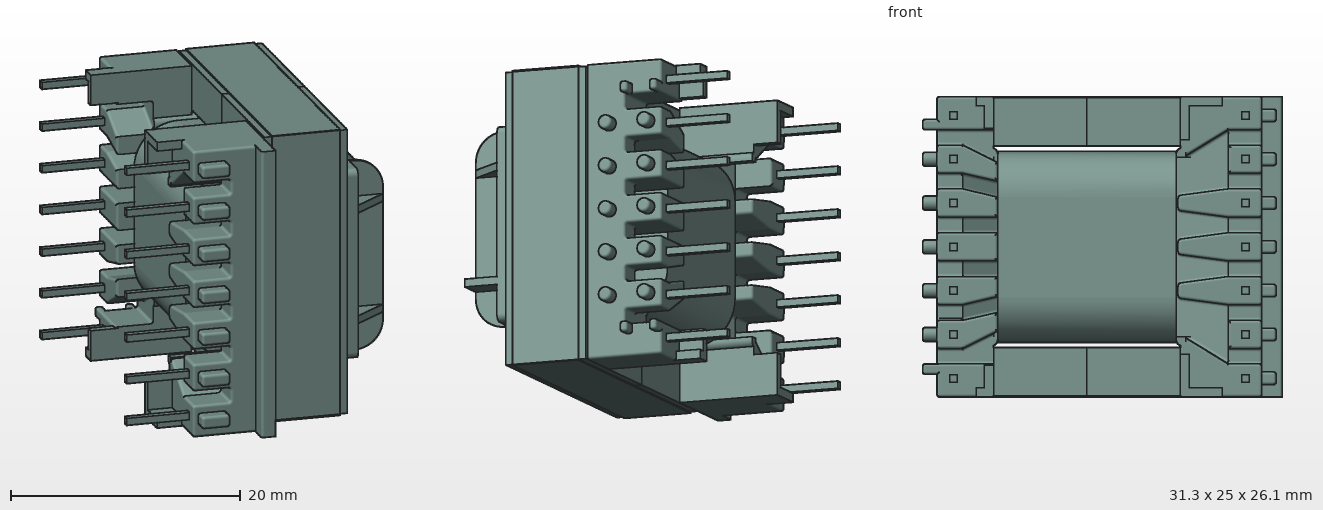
import cadquery as cq

CORE_LENGTH = 25.6
CORE_DEPTH = 7.54
CORE_WIDTH = 25.92
WINDOW_LENGTH = 17.4
WINDOW_WIDTH = 17.5
CENTRE_LEG = 7.5

TAPE_THICKNESS = 0.1
TAPE_WIDTH = 6.2

WINDING_LENGTH = 15.5
WINDING_BACK = 8.31
WINDING_FRONT = -9.37
WINDING_WIDTH = 16.64
WINDING_RADIUS = 3.97

TUBE_HOLE_WIDTH = 8.0
TUBE_HOLE_BACK = 3.88
RAIL_BACK = -4.02
TUBE_WALL = 0.8
FLANGE_THICKNESS = 0.83
FLANGE_WIDTH = 17.28
FLANGE_CORNER = 2.6
FLANGE_LIP_RADIUS = 0.6
FLANGE_INNER = WINDING_LENGTH / 2
FLANGE_OUTER = FLANGE_INNER + FLANGE_THICKNESS

LEDGE_REACH = 11.15
LEDGE_BACK = 5.27
LEDGE_CORNER = 0.6
RIB_INNER_Z = 4.7
RIB_THICKNESS = 0.7

RAIL_WIDTH = CORE_WIDTH + 2 * TAPE_THICKNESS
RAIL_FRONT = -10.97
FLOOR_Y = -7.53
RAIL_INNER = 8.12
LEFT_RAIL_OUTER = -13.05
RIGHT_RAIL_OUTER = 15.22
BLOCK_WALL_Z = 10.17
EDGE_RADIUS = 0.25
SHORTEST_ROOT = 1.0
TOLERANCE = 1e-4

PITCH = 3.81
OUTER_ROW_Z = 1.5 * PITCH
FINGER_HALF = 1.23
RAMP_END_Y = -5.55
FINGER_ROOT_Y = RAIL_BACK - 1.0
LEFT_RAMP_FOOT = -10.8
RIGHT_RAMP_FOOT = 12.28
OUTER_FINGER_END = (5.7, 7.33)
MIDDLE_FINGER_END = (PITCH - FINGER_HALF, 4.32)
LEFT_CHANNEL_HALF = sum(OUTER_FINGER_END) / 2
RIGHT_TIP_HALF = 0.65
RIGHT_TIP_X = 7.92
TIP_RADIUS = 0.3
RIGHT_BLOCK_NOSE_Z = 7.8
RIGHT_BLOCK_NOSE_X = 8.4

FOOT_FRONT = -13.2
FOOT_WALL = 0.8
LEFT_FOOT_LENGTH = 1.52
RIGHT_FOOT_LENGTH = 3.63
LEFT_FOOT_INNER_Z = BLOCK_WALL_Z + EDGE_RADIUS / 2
RIGHT_FOOT_INNER_Z = 9.32

STUD_LENGTH = 1.24
STUD_DIAMETER = 1.23
STUD_ROWS_Y = (-6.09, -9.71)
HOOK_HEIGHT = 0.93
HOOK_DEPTH = 0.7
HOOK_BACKS_Y = (FLOOR_Y, RAIL_FRONT + HOOK_DEPTH)
LUG_LENGTH = 1.24
LUG_WIDTH = 1.1
LUG_BACK = -7.96
LUG_FRONT = -10.5
SHELF_REACH = 17.0
SHELF_FRONT = -5.28

PIN_SIZE = 0.65
PIN_TIP = -16.67
PIN_ROOT = RAIL_FRONT + 1.0
LEFT_PIN_X = -11.6
RIGHT_PIN_X = LEFT_PIN_X + 25.4
PIN_ROWS_Z = [PITCH * row for row in range(-3, 4)]
FINGER_ROWS_Z = PIN_ROWS_Z[1:-1]


def block(x1, x2, y1, y2, z1, z2):
    """Box between two opposite corners, given in any order."""
    size = (abs(x2 - x1), abs(y2 - y1), abs(z2 - z1))
    centre = ((x1 + x2) / 2, (y1 + y2) / 2, (z1 + z2) / 2)
    return cq.Workplane("XY").box(*size).translate(centre)


def plate_along_y(points, back, front):
    """Prism with an (x, z) outline, running from y = back to y = front."""
    return cq.Workplane("XZ", origin=(0, back, 0)).polyline(points).close().extrude(back - front)


def plate_along_z(points, half_width):
    """Prism with an (x, y) outline, centred on z = 0."""
    return cq.Workplane("XY").polyline(points).close().extrude(half_width, both=True)


def mirrored(points):
    """The (x, z) outline reflected in z = 0."""
    return [(x, -z) for x, z in points]


def make_core_half(side):
    half = CORE_LENGTH / 2
    depth = CORE_DEPTH / 2
    core = block(0, side * half, -depth, depth, -CORE_WIDTH / 2, CORE_WIDTH / 2)
    for z_side in (1, -1):
        window = block(0, side * WINDOW_LENGTH / 2, -depth, depth,
                       z_side * CENTRE_LEG / 2, z_side * WINDOW_WIDTH / 2)
        core = core.cut(window)
    return core


def make_tape():
    outer = cq.Workplane("XY").box(CORE_LENGTH + 2 * TAPE_THICKNESS, TAPE_WIDTH, CORE_WIDTH + 2 * TAPE_THICKNESS)
    return outer.cut(cq.Workplane("XY").box(CORE_LENGTH, TAPE_WIDTH, CORE_WIDTH))


def tube_outside():
    half = TUBE_HOLE_WIDTH / 2 + TUBE_WALL
    return block(-FLANGE_INNER, FLANGE_INNER, RAIL_BACK - TUBE_WALL, TUBE_HOLE_BACK + TUBE_WALL, -half, half)


def make_winding():
    half = WINDING_WIDTH / 2
    coil = block(-FLANGE_INNER, FLANGE_INNER, WINDING_FRONT, WINDING_BACK, -half, half)
    return coil.edges("|X").fillet(WINDING_RADIUS).cut(tube_outside())


def make_flange(side):
    """Flange with a rounded lip facing the winding, a ledge behind the core and a gap for the wire ramps."""
    front, gap_half = (RAIL_FRONT, RIGHT_BLOCK_NOSE_Z) if side > 0 else (FLOOR_Y, LEFT_CHANNEL_HALF)
    half = FLANGE_WIDTH / 2
    flange = block(side * FLANGE_INNER, side * FLANGE_OUTER, front, WINDING_BACK, -half, half)
    flange = flange.edges("|X and >Y").fillet(FLANGE_CORNER)
    flange = flange.faces("<X" if side > 0 else ">X").edges("not <Y").fillet(FLANGE_LIP_RADIUS)
    flange = flange.cut(block(side * FLANGE_INNER, side * FLANGE_OUTER, RAMP_END_Y, front, -gap_half, gap_half))
    ledge_root = FLANGE_INNER + FLANGE_LIP_RADIUS
    ledge = block(side * ledge_root, side * LEDGE_REACH, TUBE_HOLE_BACK, LEDGE_BACK, -half, half)
    ledge = ledge.faces(">X" if side > 0 else "<X").edges("|Y").fillet(LEDGE_CORNER)
    return flange.union(ledge)


def make_ribs():
    """Back ribs: triangular gussets, except one square tab at the lower left."""
    ribs = []
    for side in (1, -1):
        for z_side in (1, -1):
            outline = [(side * FLANGE_OUTER, LEDGE_BACK), (side * LEDGE_REACH, LEDGE_BACK),
                       (side * FLANGE_OUTER, WINDING_BACK)]
            if side < 0 and z_side < 0:
                outline.insert(2, (side * LEDGE_REACH, WINDING_BACK))
            middle = z_side * (RIB_INNER_Z + RIB_THICKNESS / 2)
            ribs.append(plate_along_z(outline, RIB_THICKNESS / 2).translate((0, 0, middle)))
    return ribs


def finger(points):
    """Terminal finger of the given (x, z) outline, rooted deep in the rail."""
    return plate_along_y(points, FINGER_ROOT_Y, RAIL_FRONT)


def make_left_rail():
    half = RAIL_WIDTH / 2
    rail = block(LEFT_RAIL_OUTER, -RAIL_INNER, RAIL_BACK, FLOOR_Y, -half, half)
    rail = rail.cut(block(LEFT_RAMP_FOOT, -RAIL_INNER, RAIL_BACK, FLOOR_Y, -LEFT_CHANNEL_HALF, LEFT_CHANNEL_HALF))
    ramp = [(LEFT_RAMP_FOOT, RAIL_BACK), (LEFT_RAMP_FOOT, FLOOR_Y), (-FLANGE_INNER, RAMP_END_Y),
            (-FLANGE_INNER, RAIL_BACK)]
    rail = rail.union(plate_along_z(ramp, LEFT_CHANNEL_HALF))
    ends = {0: (-FINGER_HALF, FINGER_HALF), 1: MIDDLE_FINGER_END, 2: OUTER_FINGER_END}
    for row, (end_low, end_high) in ends.items():
        low = PITCH * row - FINGER_HALF
        high = PITCH * row + FINGER_HALF
        outline = [(LEFT_RAIL_OUTER, low), (LEFT_RAIL_OUTER, high), (LEFT_RAMP_FOOT, high),
                   (-FLANGE_INNER, end_high), (-FLANGE_INNER, end_low), (LEFT_RAMP_FOOT, low)]
        rail = rail.union(finger(outline))
        if row:
            rail = rail.union(finger(mirrored(outline)))
    for z_side in (1, -1):
        rail = rail.union(block(LEFT_RAIL_OUTER, -RAIL_INNER, FLOOR_Y, RAIL_FRONT,
                                z_side * BLOCK_WALL_Z, z_side * half))
    return rail


def make_right_rail():
    half = RAIL_WIDTH / 2
    ramp = [(FLANGE_INNER, RAIL_BACK), (FLANGE_INNER, RAMP_END_Y), (RIGHT_RAMP_FOOT, FLOOR_Y),
            (RIGHT_RAIL_OUTER, FLOOR_Y), (RIGHT_RAIL_OUTER, RAIL_BACK)]
    rail = plate_along_z(ramp, half)
    corner = [(RAIL_INNER, half), (RIGHT_RAIL_OUTER, half), (RIGHT_RAIL_OUTER, BLOCK_WALL_Z),
              (RIGHT_RAMP_FOOT, BLOCK_WALL_Z), (RIGHT_BLOCK_NOSE_X, RIGHT_BLOCK_NOSE_Z),
              (RAIL_INNER, RIGHT_BLOCK_NOSE_Z)]
    for z_side in (1, -1):
        rail = rail.cut(block(FLANGE_INNER, RAIL_INNER, RAIL_BACK, RAIL_FRONT,
                              z_side * RIGHT_BLOCK_NOSE_Z, z_side * half))
    rail = rail.union(finger(corner)).union(finger(mirrored(corner)))
    for z in FINGER_ROWS_Z:
        low = z - FINGER_HALF
        high = z + FINGER_HALF
        base = [(RIGHT_RAMP_FOOT, low), (RIGHT_RAIL_OUTER, low), (RIGHT_RAIL_OUTER, high), (RIGHT_RAMP_FOOT, high)]
        if abs(z) > OUTER_ROW_Z:
            rail = rail.union(finger(base))
        else:
            tip = [(RIGHT_TIP_X, z + RIGHT_TIP_HALF), (RIGHT_TIP_X, z - RIGHT_TIP_HALF)]
            rail = rail.union(finger(base + tip).edges("|Y and <X").fillet(TIP_RADIUS))
    return rail


def root_edges(rail, ramp_foot, ramp_end):
    """Lengthwise edges in a surface that runs straight from the level floor to depth ramp_end at the winding."""
    slope = (ramp_end - FLOOR_Y) / (abs(ramp_foot) - FLANGE_INNER)
    roots = []
    for edge in rail.edges("%LINE").vals():
        ends = (edge.startPoint(), edge.endPoint())
        depths = [FLOOR_Y + slope * (abs(ramp_foot) - abs(end.x)) for end in ends]
        touches = all(abs(end.y - depth) < TOLERANCE for end, depth in zip(ends, depths))
        if touches and abs(ends[0].x - ends[1].x) > SHORTEST_ROOT:
            roots.append(edge)
    return roots


def at_block_nose(edge):
    """True for the front edges on the winding side of a right corner block, which stay sharp."""
    centre = edge.Center()
    return RAIL_INNER - TOLERANCE < centre.x < RIGHT_BLOCK_NOSE_X and abs(centre.z) > OUTER_ROW_Z


def soften(rail, outer_face, roots):
    """Round the outer face's edges, the front edges and the given roots of the walls."""
    outer = rail.faces(outer_face).edges("not >Y").vals()
    front = [edge for edge in rail.faces("<Y").edges().vals() if not at_block_nose(edge)]
    return rail.newObject(outer + front + roots).fillet(EDGE_RADIUS)


def soften_left_rail(rail):
    """The ramp roots come first, then the floor roots with the rest."""
    rail = rail.newObject(root_edges(rail, LEFT_RAMP_FOOT, RAMP_END_Y)).fillet(EDGE_RADIUS)
    return soften(rail, "<X", root_edges(rail, LEFT_RAMP_FOOT, FLOOR_Y))


def soften_right_rail(rail):
    """The corner blocks' ramp roots go with the floor roots, the tapered fingers' ramp roots come after."""
    def on_finger(edge):
        return abs(edge.Center().z) < OUTER_ROW_Z

    floor_roots = root_edges(rail, RIGHT_RAMP_FOOT, FLOOR_Y)
    block_roots = [edge for edge in root_edges(rail, RIGHT_RAMP_FOOT, RAMP_END_Y) if not on_finger(edge)]
    rail = soften(rail, ">X", floor_roots + block_roots)
    finger_roots = [edge for edge in root_edges(rail, RIGHT_RAMP_FOOT, RAMP_END_Y) if on_finger(edge)]
    return rail.newObject(finger_roots).fillet(EDGE_RADIUS)


def make_feet():
    """L-shaped board feet in front of the four corner blocks."""
    feet = []
    half = RAIL_WIDTH / 2
    start = RAIL_FRONT + 2 * EDGE_RADIUS
    for side, length, inner_z in ((-1, LEFT_FOOT_LENGTH, LEFT_FOOT_INNER_Z), (1, RIGHT_FOOT_LENGTH, RIGHT_FOOT_INNER_Z)):
        near = side * RAIL_INNER
        outline = [(near, inner_z), (near, half), (near + side * length, half),
                   (near + side * length, half - FOOT_WALL), (near + side * FOOT_WALL, half - FOOT_WALL),
                   (near + side * FOOT_WALL, inner_z)]
        feet.append(plate_along_y(outline, start, FOOT_FRONT))
        feet.append(plate_along_y(mirrored(outline), start, FOOT_FRONT))
    return feet


def make_studs():
    """Round studs in two rows on the left rail's outer face."""
    studs = []
    for y in STUD_ROWS_Y:
        for z in FINGER_ROWS_Z:
            stud = cq.Workplane("YZ", origin=(LEFT_RAIL_OUTER, y, z)).circle(STUD_DIAMETER / 2).extrude(-STUD_LENGTH)
            studs.append(stud.faces("<X").edges().fillet(EDGE_RADIUS))
    return studs


def make_hooks():
    """Small bars beside the outermost slots of the left rail."""
    hooks = []
    for back in HOOK_BACKS_Y:
        for z_side in (1, -1):
            hook = block(LEFT_RAIL_OUTER + 2 * EDGE_RADIUS, LEFT_RAIL_OUTER - STUD_LENGTH, back, back - HOOK_DEPTH,
                         z_side * BLOCK_WALL_Z, z_side * (BLOCK_WALL_Z + HOOK_HEIGHT))
            hooks.append(hook.edges("|X or <X").fillet(EDGE_RADIUS))
    return hooks


def make_lugs():
    """Flat rounded lugs on the right rail's outer face, one per pin."""
    lugs = []
    for z in PIN_ROWS_Z:
        lug = block(RIGHT_RAIL_OUTER, RIGHT_RAIL_OUTER + LUG_LENGTH, LUG_BACK, LUG_FRONT,
                    z - LUG_WIDTH / 2, z + LUG_WIDTH / 2)
        lugs.append(lug.edges("|X or >X").fillet(EDGE_RADIUS))
    return lugs


def make_shelf():
    half = RAIL_WIDTH / 2
    shelf = block(RIGHT_RAIL_OUTER - 1, SHELF_REACH, RAIL_BACK, SHELF_FRONT, -half, half)
    return shelf.edges(">X and <Y").fillet(EDGE_RADIUS)


def make_pins():
    half = PIN_SIZE / 2
    return [block(x - half, x + half, PIN_ROOT, PIN_TIP, z - half, z + half)
            for x in (LEFT_PIN_X, RIGHT_PIN_X) for z in PIN_ROWS_Z]


def make_bobbin():
    bobbin = tube_outside()
    parts = [make_flange(-1), make_flange(1)]
    parts.append(soften_left_rail(make_left_rail()))
    parts.append(soften_right_rail(make_right_rail()))
    parts.append(make_shelf())
    parts += make_ribs() + make_feet() + make_studs() + make_hooks() + make_lugs() + make_pins()
    for part in parts:
        bobbin = bobbin.union(part)
    half = TUBE_HOLE_WIDTH / 2
    return bobbin.cut(block(-LEDGE_REACH, LEDGE_REACH, RAIL_BACK, TUBE_HOLE_BACK, -half, half))


bobbin = make_bobbin()
winding = make_winding()
left_core = make_core_half(-1)
right_core = make_core_half(1)
tape = make_tape()

result = cq.Compound.makeCompound([bobbin.val(), winding.val(), left_core.val(), right_core.val(), tape.val()])